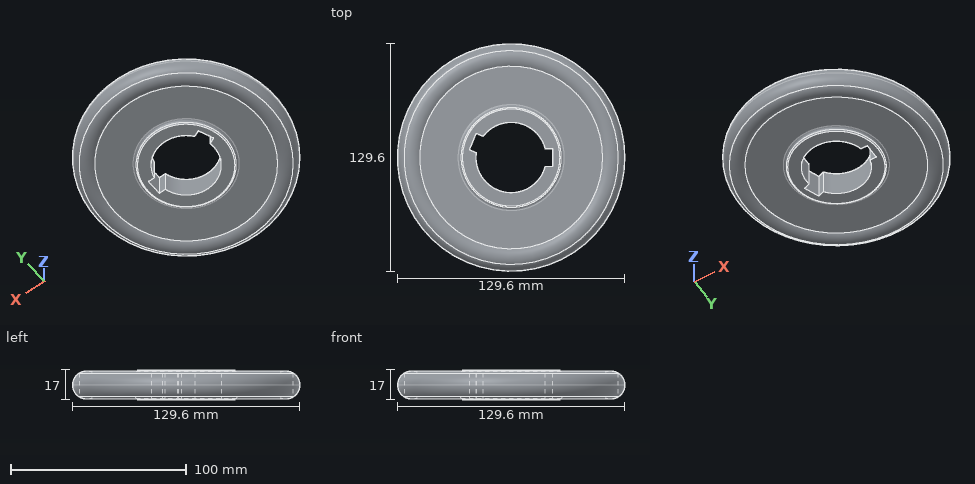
import cadquery as cq
import math

outer_radius = 64.8
rim_section_radius = 8.0
rim_center_radius = outer_radius - rim_section_radius

web_radius = 60.9
web_half_height = 6.5

hub_radius = 28.4
hub_half_height = 8.49
hub_chamfer = 0.8
hub_fillet = 1.8

bore_radius = 20.0
keyway_width = 10.0
keyway_reach = 23.6
keyway_angles = (0.0, 157.5)


def cylinder(radius, half_height):
    """Cylinder on the Z axis, centred on the XY plane."""
    return cq.Workplane("XY").cylinder(2 * half_height, radius)


def make_hub_and_web():
    """Revolved half section of the web and hub, bored with two keyways."""
    fillet_outer_radius = hub_radius + hub_fillet
    fillet_top = web_half_height + hub_fillet
    chamfer_start = hub_half_height - hub_chamfer
    fillet_rise = chamfer_start - web_half_height
    fillet_drop = hub_fillet - fillet_rise
    fillet_end_radius = fillet_outer_radius - math.sqrt(hub_fillet**2 - fillet_drop**2)
    half_diagonal = hub_fillet * math.sqrt(0.5)
    fillet_middle = (fillet_outer_radius - half_diagonal, fillet_top - half_diagonal)

    upper_half = (
        cq.Workplane("XZ")
        .lineTo(web_radius, 0)
        .lineTo(web_radius, web_half_height)
        .lineTo(fillet_outer_radius, web_half_height)
        .threePointArc(fillet_middle, (fillet_end_radius, chamfer_start))
        .lineTo(fillet_end_radius - hub_chamfer, hub_half_height)
        .lineTo(0, hub_half_height)
        .close()
        .revolve(360, (0, 0, 0), (0, 1, 0))
    )
    body = upper_half.union(upper_half.mirror("XY"))

    body = body.cut(cylinder(bore_radius, hub_half_height))
    for angle in keyway_angles:
        keyway = (
            cq.Workplane("XY")
            .box(keyway_reach, keyway_width, 2 * hub_half_height, centered=(False, True, True))
            .rotate((0, 0, 0), (0, 0, 1), angle)
        )
        body = body.cut(keyway)
    return body


def make_rim():
    """Round-section ring with a groove that takes the edge of the web."""
    ring = (
        cq.Workplane("XZ")
        .center(rim_center_radius, 0)
        .circle(rim_section_radius)
        .revolve(360, (-rim_center_radius, 0, 0), (-rim_center_radius, 1, 0))
    )
    return ring.cut(cylinder(web_radius, web_half_height))


hub_and_web = make_hub_and_web()
rim = make_rim()

result = cq.Compound.makeCompound([hub_and_web.val(), rim.val()])